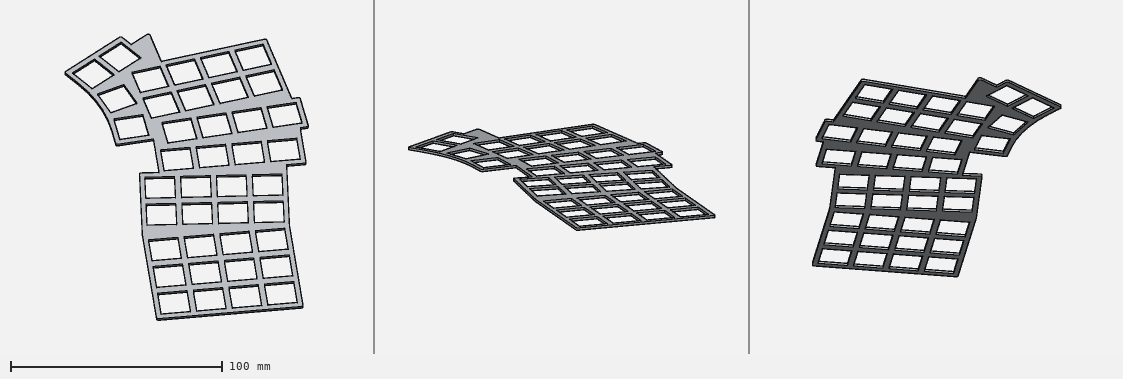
import cadquery as cq
import math

thickness = 1.2
cutout_size = 14.0
column_pitch = 18.0
row_pitch = 17.0
rim = 1.0

fan_center = (-46.4, -105.0)
fan_radius = 77.0
fan_inner_tilt = -5
fan_middle_tilt = 10
fan_outer_tilt = 25

wing_top = -3.0
wing_inset = 7.3


def turn(x, y, tilt):
    """Rotate a vector counter-clockwise by tilt degrees."""
    angle = math.radians(tilt)
    return (
        x * math.cos(angle) - y * math.sin(angle),
        x * math.sin(angle) + y * math.cos(angle),
    )


class KeyBlock:
    """A tilted grid of key cells with one square cutout in each cell."""

    def __init__(self, center, tilt, columns, rows):
        self.center = center
        self.tilt = tilt
        self.columns = columns
        self.rows = rows
        self.half_width = columns * column_pitch / 2
        self.half_height = rows * row_pitch / 2

    def place(self, x, y):
        """Convert a point of the block's own frame to plate coordinates."""
        dx, dy = turn(x, y, self.tilt)
        return (self.center[0] + dx, self.center[1] + dy)

    def line(self, x, y, direction):
        return (self.place(x, y), turn(*direction, self.tilt))

    def top(self):
        return self.line(0, self.half_height, (1, 0))

    def bottom(self):
        return self.line(0, -self.half_height, (1, 0))

    def left(self, inset=0):
        return self.line(inset - self.half_width, 0, (0, 1))

    def right(self):
        return self.line(self.half_width, 0, (0, 1))

    def cutouts(self):
        """Solids that cut the key openings through the plate."""
        return (
            cq.Workplane("XY")
            .rarray(column_pitch, row_pitch, self.columns, self.rows)
            .rect(cutout_size, cutout_size)
            .extrude(thickness)
            .rotate((0, 0, 0), (0, 0, 1), self.tilt)
            .translate((*self.center, 0))
        )


def fan_point(radius, tilt):
    dx, dy = turn(0, radius, tilt)
    return (fan_center[0] + dx, fan_center[1] + dy)


def meet(first, second):
    """Point where two lines, each a point and a direction, cross."""
    (x1, y1), (dx1, dy1) = first
    (x2, y2), (dx2, dy2) = second
    along = ((x2 - x1) * dy2 - (y2 - y1) * dx2) / (dx1 * dy2 - dy1 * dx2)
    return (x1 + along * dx1, y1 + along * dy1)


def corners(lines):
    """Crossing points of each line with the next one."""
    return [meet(a, b) for a, b in zip(lines, lines[1:])]


outer = KeyBlock((-58.6, 15.0), 0, columns=2, rows=4)
second = KeyBlock((-28.6, 18.2), -5, columns=1, rows=4)
third = KeyBlock((-8.5, 11.2), -10, columns=1, rows=4)
fourth = KeyBlock((18.2, -4.7), -15, columns=2, rows=4)
last = KeyBlock((65.1, -14.8), -10, columns=3, rows=4)

thumb_inner = KeyBlock(fan_point(fan_radius, fan_inner_tilt), fan_inner_tilt, columns=1, rows=1)
thumb_middle = KeyBlock(fan_point(fan_radius, fan_middle_tilt), fan_middle_tilt, columns=1, rows=1)
thumb_outer = KeyBlock(
    fan_point(fan_radius + row_pitch / 2, fan_outer_tilt), fan_outer_tilt, columns=1, rows=2
)

blocks = [outer, second, third, fourth, last, thumb_inner, thumb_middle, thumb_outer]

finger_corners = corners([
    outer.left(),
    outer.top(),
    second.left(),
    second.top(),
    second.right(),
    third.top(),
    third.right(),
    fourth.top(),
    last.top(),
    last.right(),
    last.bottom(),
    fourth.bottom(),
    fourth.left(),
    third.bottom(),
    thumb_inner.right(),
    thumb_inner.bottom(),
])
thumb_corners = corners([
    thumb_outer.bottom(),
    thumb_outer.left(),
    thumb_outer.top(),
    thumb_outer.left(wing_inset),
    ((0, wing_top), (1, 0)),
    outer.left(),
])

arc_radius = fan_radius - row_pitch / 2
arc_start = fan_point(arc_radius, fan_inner_tilt)
arc_middle = fan_point(arc_radius, fan_middle_tilt)
arc_end = fan_point(arc_radius, fan_outer_tilt)

plate = (
    cq.Workplane("XY")
    .polyline(finger_corners + [arc_start])
    .threePointArc(arc_middle, arc_end)
    .polyline(thumb_corners, includeCurrent=True)
    .close()
    .offset2D(rim, "arc")
    .extrude(thickness)
)

for block in blocks:
    plate = plate.cut(block.cutouts())

result = plate